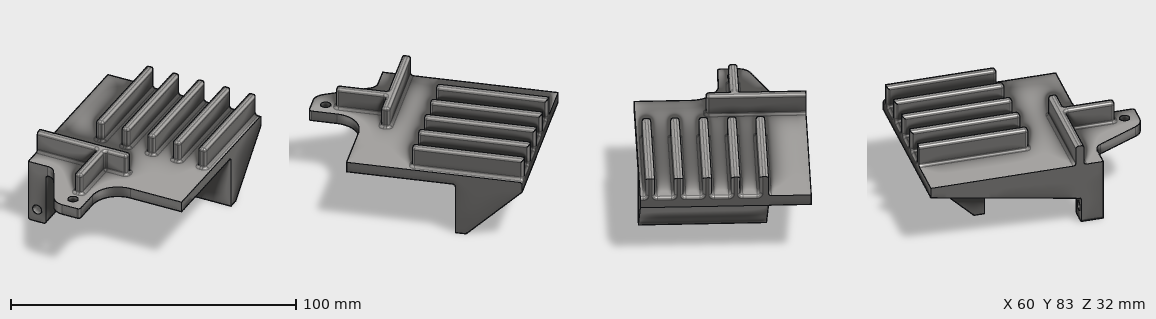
import cadquery as cq


plate_width = 60.0
total_length = 83.0
total_height = 32.0

tab_length = 20.0
plate_depth = total_length - tab_length
plate_thickness = 4.0
tab_slant_start = 10.0
tab_slant_run = tab_length / 2
tab_right = plate_width / 2
tab_left_root_radius = 3.8
tab_left_tip_radius = 5.15
tab_right_root_radius = 10.0

edge_radius = 1.0
rib_height = 8.0
rib_width = 3.0
fin_count = 5
fin_length = 40.0
fin_pitch = plate_width / 6
first_fin_x = 16.5
cross_rib_length = 35.0
cross_rib_y = 8.55
tab_rib_x = 25.0
tab_rib_length = 11.0

cross_rib_walls = (cross_rib_y - rib_width / 2, cross_rib_y + rib_width / 2)
tab_rib_walls = (tab_rib_x - rib_width / 2, tab_rib_x + rib_width / 2)

drop = total_height - rib_height
side_leg_width = 7.0
side_leg_depth = 8.0
web_drop = 10.0
block_left = 15.0
block_depth = 24.0

hole_diameter = 3.6
hole_inset = 5.0

clearance = 0.1


def box(x_range, y_range, z_range):
    """Box between the given limits along each axis."""
    (x0, x1), (y0, y1), (z0, z1) = x_range, y_range, z_range
    return cq.Workplane("XY").box(x1 - x0, y1 - y0, z1 - z0, centered=False).translate((x0, y0, z0))


def fillet_upright(body, radius, x, y):
    """Round the one vertical edge standing at (x, y)."""
    return body.edges(cq.selectors.NearestToPointSelector((x, y, -plate_thickness / 2))).fillet(radius)


def make_plate():
    """Flat plate with the tapered tab on its front edge."""
    slant_tip = tab_slant_start + tab_slant_run
    plate = (
        cq.Workplane("XY")
        .moveTo(0, 0)
        .lineTo(tab_slant_start, 0)
        .lineTo(slant_tip, -tab_length)
        .lineTo(tab_right, -tab_length)
        .lineTo(tab_right, 0)
        .lineTo(plate_width, 0)
        .lineTo(plate_width, plate_depth)
        .lineTo(0, plate_depth)
        .close()
        .extrude(-plate_thickness)
    )
    plate = fillet_upright(plate, tab_left_root_radius, tab_slant_start, 0)
    plate = fillet_upright(plate, tab_left_tip_radius, slant_tip, -tab_length)
    plate = fillet_upright(plate, edge_radius, tab_right, -tab_length)
    return fillet_upright(plate, tab_right_root_radius, tab_right, 0)


def make_side_leg():
    """Leg at the left front corner with the sloped web that carries it to the back edge."""
    web_front_z = -plate_thickness - web_drop
    leg = (
        cq.Workplane("YZ")
        .moveTo(0, 0)
        .lineTo(0, -drop)
        .lineTo(side_leg_depth, -drop)
        .lineTo(side_leg_depth, web_front_z)
        .lineTo(plate_depth, -plate_thickness)
        .lineTo(plate_depth, 0)
        .close()
        .extrude(side_leg_width)
    )
    inner_corner = (side_leg_width / 2, side_leg_depth, web_front_z)
    leg = leg.edges(cq.selectors.NearestToPointSelector(inner_corner)).fillet(edge_radius)
    return leg.faces("<Z").edges("|Y").fillet(edge_radius)


def make_rear_block():
    """Square block under the back of the plate."""
    return box((block_left, plate_width), (plate_depth - block_depth, plate_depth), (-drop, 0))


def blend_underside(body):
    """Fillet where the web and the front and left of the block meet the underside of the plate."""
    z_low = -plate_thickness - clearance
    z_high = -plate_thickness + clearance
    y_high = plate_depth - clearance
    web_edges = cq.selectors.BoxSelector(
        (side_leg_width - clearance, 0, z_low),
        (side_leg_width + clearance, y_high, z_high),
    )
    block_edges = cq.selectors.BoxSelector(
        (block_left - clearance, plate_depth - block_depth - clearance, z_low),
        (plate_width - edge_radius, y_high, z_high),
    )
    return body.edges(web_edges).fillet(edge_radius).edges(block_edges).fillet(edge_radius)


def slope_block_back(body):
    """Cut the back of the block at 45 degrees, from the plate's lower back edge down."""
    slope = drop - plate_thickness
    waste = (
        cq.Workplane("YZ")
        .moveTo(plate_depth, -plate_thickness)
        .lineTo(plate_depth, -drop)
        .lineTo(plate_depth - slope, -drop)
        .close()
        .extrude(plate_width)
    )
    return body.cut(waste)


def fin_range(index):
    """Left and right wall of a fin."""
    centre = first_fin_x + index * fin_pitch
    return centre - rib_width / 2, centre + rib_width / 2


def make_fin(index, height):
    """Fin running to the back edge, with its front corners rounded."""
    fin = box(fin_range(index), (plate_depth - fin_length, plate_depth), (0, height))
    return fin.faces("<Y").edges("|Z").fillet(edge_radius)


def make_tee():
    """Cross rib from the left side, with a second rib running out onto the tab."""
    cross = box((0, cross_rib_length), cross_rib_walls, (0, rib_height))
    cross = cross.faces(">X").edges("|Z").fillet(edge_radius)
    stem = box(tab_rib_walls, (-tab_rib_length, cross_rib_y), (0, rib_height))
    stem = stem.faces("<Y").edges("|Z").fillet(edge_radius)
    tee = cross.union(stem)
    for wall_x in tab_rib_walls:
        inner_corner = (wall_x, cross_rib_walls[0], rib_height / 2)
        tee = tee.edges(cq.selectors.NearestToPointSelector(inner_corner)).fillet(edge_radius)
    return tee


def round_top(rib, open_end):
    """Round the top edges of a rib, except at the end that is flush with the plate."""
    return rib.faces(">Z").edges("not " + open_end).fillet(edge_radius)


def base_edges(x_range, y_range):
    """Selector for the foot of a rib standing on the given area of the plate's top face."""
    (x0, x1), (y0, y1) = x_range, y_range
    return cq.selectors.BoxSelector(
        (x0 - clearance, y0 - clearance, -clearance),
        (x1 + clearance, y1 - clearance, clearance),
    )


def blend_fin_bases(body):
    """Fillet the foot of every fin."""
    for index in range(fin_count):
        foot = base_edges(fin_range(index), (plate_depth - fin_length, plate_depth))
        body = body.edges(foot).fillet(edge_radius)
    return body


def blend_tee_base(body):
    """Fillet the foot of the cross rib and of the rib on the tab."""
    cross_foot = base_edges((0, cross_rib_length), cross_rib_walls)
    stem_foot = base_edges(tab_rib_walls, (-tab_rib_length, cross_rib_y))
    return body.edges(cross_foot + stem_foot).fillet(edge_radius)


def round_back_edge(body):
    """Round the back edge right of the first fin, following the fin feet and up the fin walls."""
    tall = 2 * rib_height
    kept = box((0, plate_width), (0, plate_depth), (-plate_thickness, 0))
    for index in range(fin_count):
        kept = kept.union(make_fin(index, tall))
    kept = blend_fin_bases(kept)
    first_right = fin_range(0)[1]
    back_edges = cq.selectors.BoxSelector(
        (first_right - clearance, plate_depth - clearance, -clearance),
        (plate_width - clearance, plate_depth + clearance, tall - clearance),
    )
    kept = kept.edges(back_edges).fillet(edge_radius)
    strip = box(
        (first_fin_x, plate_width),
        (plate_depth - edge_radius, plate_depth),
        (-edge_radius, rib_height),
    )
    return body.cut(strip.cut(kept))


def drill_holes(body):
    """Upright hole through the tab, and a hole along Y through the foot of the leg."""
    radius = hole_diameter / 2
    tab_hole = cq.Workplane("XY").center(tab_rib_x, hole_inset - tab_length).circle(radius)
    leg_hole = cq.Workplane("XZ").center(side_leg_width / 2, hole_inset - drop).circle(radius)
    return body.cut(tab_hole.extrude(-plate_thickness)).cut(leg_hole.extrude(-side_leg_depth))


body = make_plate().union(make_side_leg()).union(make_rear_block())
body = slope_block_back(blend_underside(body))
ribs = round_top(make_tee(), "<X")
for index in range(fin_count):
    ribs = ribs.union(round_top(make_fin(index, rib_height), ">Y"))
body = blend_tee_base(blend_fin_bases(body.union(ribs)))
body = round_back_edge(body)
result = drill_holes(body)